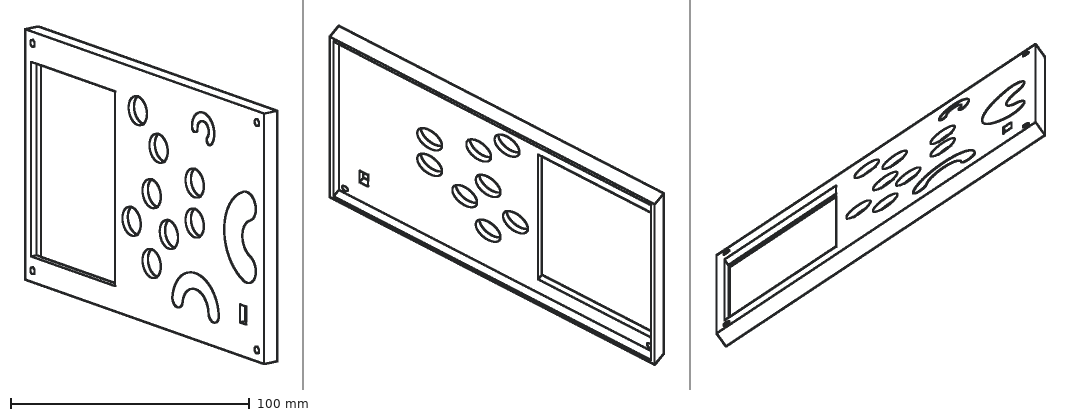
import cadquery as cq
import math

width = 162.9
depth = 7.0
height = 109.3
panel_thickness = 3.0
rim_thickness = 2.0

window_left = 4.0
window_bottom = 11.0
window_width = 57.0
window_height = 84.9

mount_diameter = 3.0
mount_inset = 5.0

button_diameter = 12.4
button_centres = [
    (76.7, 91.0),
    (90.9, 77.9),
    (86.2, 57.0),
    (72.5, 41.9),
    (97.9, 41.9),
    (86.2, 26.5),
    (115.5, 68.3),
    (115.5, 50.8),
]

switch_x = 148.4
switch_z = 18.4
switch_width = 4.2
switch_height = 7.8

recess_depth = 0.2
curved_recesses = [
    (121.2, 92.7, 5.7, 3.7, -41, 183),
    (116.0, 13.2, 12.4, 7.0, 3, 172),
    (156.4, 52.6, 14.7, 12.4, 112, 248),
]


def block(left, bottom, size_x, size_z, front, size_y):
    """Box placed by its left, front, bottom corner."""
    return cq.Workplane("XY").box(size_x, size_y, size_z, centered=False).translate((left, front, bottom))


def round_holes(centres, diameter):
    """Cylinders along Y, long enough to pass through the part."""
    return cq.Workplane("XZ").pushPoints(centres).circle(diameter / 2).extrude(-depth)


def curved_recess(centre_x, centre_z, radius, band, start, end):
    """Arc-shaped band with round ends, sunk into the front face."""
    middle = (start + end) / 2
    inner = radius - band / 2
    outer = radius + band / 2

    def point(distance, angle, ahead=0.0):
        """Polar point, moved ahead along the direction of rising angle."""
        a = math.radians(angle)
        x = centre_x + distance * math.cos(a) - ahead * math.sin(a)
        z = centre_z + distance * math.sin(a) + ahead * math.cos(a)
        return (x, z)

    return (
        cq.Workplane("XZ")
        .moveTo(*point(outer, start))
        .threePointArc(point(outer, middle), point(outer, end))
        .threePointArc(point(radius, end, band / 2), point(inner, end))
        .threePointArc(point(inner, middle), point(inner, start))
        .threePointArc(point(radius, start, -band / 2), point(outer, start))
        .close()
        .extrude(-recess_depth)
    )


result = block(0, 0, width, height, 0, depth)
result = result.cut(
    block(
        rim_thickness,
        rim_thickness,
        width - 2 * rim_thickness,
        height - 2 * rim_thickness,
        panel_thickness,
        depth - panel_thickness,
    )
)

result = result.cut(block(window_left, window_bottom, window_width, window_height, 0, depth))
switch_left = switch_x - switch_width / 2
switch_bottom = switch_z - switch_height / 2
result = result.cut(block(switch_left, switch_bottom, switch_width, switch_height, 0, depth))

mount_centres = [
    (x, z)
    for x in (mount_inset, width - mount_inset)
    for z in (mount_inset, height - mount_inset)
]
result = result.cut(round_holes(mount_centres, mount_diameter))
result = result.cut(round_holes(button_centres, button_diameter))

for recess in curved_recesses:
    result = result.cut(curved_recess(*recess))